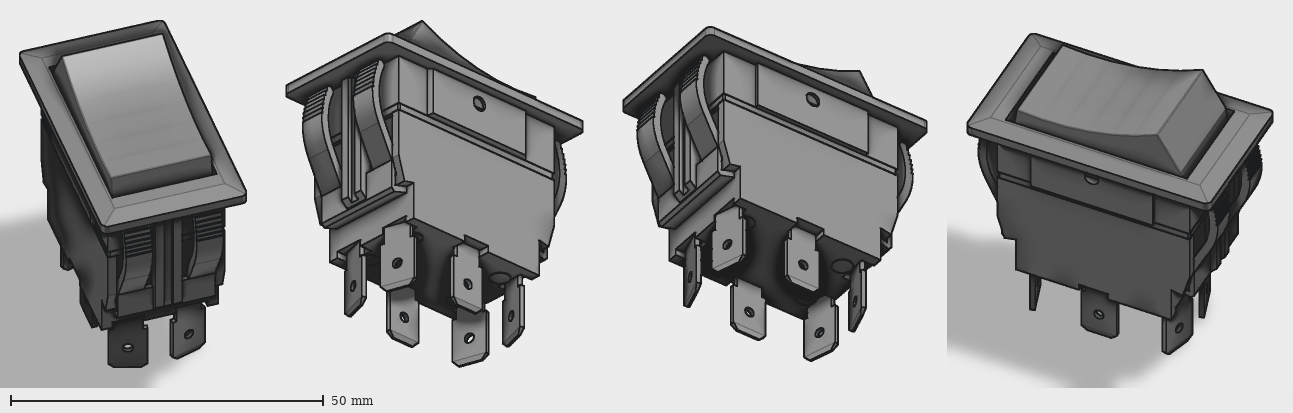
import cadquery as cq
import math

body_bottom = 10.45
notch_top = 11.6
clip_ledge = 16.95
body_top = 29.2
housing_bottom = 30.4
bezel_bottom = 38.95
bezel_edge_top = 40.55
bezel_top = 41.25

bezel_length = 43.2
bezel_width = 24.5
bezel_corner = 1.05
bezel_top_length = 37.07
bezel_top_width = 18.6
opening_length = 32.15
opening_width = 17.6
cavity_floor = 31.95

body_half_length = 17.05
body_width = 19.7
base_half_length = 13.75
neck_inset = 0.1
neck_corner = 0.3
panel_length = 21.6
panel_rise = 0.7
panel_bevel = panel_rise
panel_bevel_height = 0.45
taper_top = 20.9
taper_bottom = 16.5
taper_half_length = 15.8
recess_depth = 0.8
recess_width = 16.75

rail_half_length = 18.2
rail_width = 4.5
rail_chamfer = 1.15
rail_groove_width = 1.5
rail_groove_depth = 0.77
rail_bottom = 15.85

rocker_width = 17.05
rocker_edge = 0.15
pivot_height = 36.4
pivot_boss_diameter = 3.5
rocker_bottom = pivot_height - pivot_boss_diameter / 2
rocker_left_foot = (-15.4, rocker_bottom)
rocker_left_bend = (-14.75, 41.65)
rocker_peak = (-10.6, 48.45)
rocker_hollow = (1.5, 44.35)
rocker_right_top = (14.3, 43.95)
rocker_right_foot = (15.55, rocker_bottom)
pivot_pin_diameter = 2.5
pin_recess = 0.5
pin_ramp_height = 0.8
pin_ramp_run = 1.05

clip_width = 16.35
clip_arm_width = 4.45
arm_thickness = 1.5
arm_root_height = 20.55
arm_lean = math.radians(26.3)
arm_outer_radius = 13.0
arm_bend_height = 32.15
arm_tip_angle = math.radians(24.6)
tooth_count = 6
tooth_first = 32.52
tooth_pitch = 0.85
tooth_depth = 0.3
hook_drop = 1.1
hook_bottom = 15.0
hook_corner = 0.6
hook_rise = 0.7

blade_width = 6.3
blade_thickness = 0.8
blade_shoulder = 8.6
blade_neck_width = 4.85
blade_embed = 0.5
blade_tip_chamfer = 1.0
blade_tip_bevel = 0.25
blade_hole_diameter = 1.7
blade_hole_height = 4.45
end_blade_x = 12.6
end_blade_y = 5.05
end_blade_turn = 17.0
middle_blade_y = 7.45
notch_clearance = 0.17
middle_notch_depth = (body_width + blade_thickness) / 2 - middle_blade_y
end_notch_depth = 2.4
end_notch_width = 5.35
end_notch_y = 5.3
foot_diameter = 3.5
foot_height = 0.15
foot_x = 9.65


def block(length, width, bottom, top):
    """Box centred on the Z axis between two heights."""
    return cq.Workplane("XY").workplane(offset=bottom).rect(length, width).extrude(top - bottom)


def prism(points, width):
    """XZ outline extruded symmetrically along Y."""
    return cq.Workplane("XZ").polyline(points).close().extrude(width / 2, both=True)


def both_ends(shape):
    """The shape together with its mirror image across the YZ plane."""
    return shape.union(shape.mirror("YZ"))


def make_bezel():
    plate = block(bezel_length, bezel_width, bezel_bottom, bezel_edge_top)
    slope = (
        cq.Workplane("XY").workplane(offset=bezel_edge_top).rect(bezel_length, bezel_width)
        .workplane(offset=bezel_top - bezel_edge_top).rect(bezel_top_length, bezel_top_width)
        .loft(ruled=True)
    )
    rounding = block(bezel_length, bezel_width, bezel_bottom, bezel_top).edges("|Z").fillet(bezel_corner)
    return plate.union(slope).intersect(rounding)


def make_front_panel():
    """Raised panel on the -Y face of the housing, bevelled on its sides and bottom."""
    face = -body_width / 2
    raised = face - panel_rise
    half = panel_length / 2
    panel = (
        cq.Workplane("XY").workplane(offset=housing_bottom)
        .polyline([(-half, face), (-half + panel_bevel, raised), (half - panel_bevel, raised), (half, face)])
        .close().extrude(bezel_bottom - housing_bottom)
    )
    bevel = (
        cq.Workplane("YZ")
        .polyline([(face, housing_bottom), (raised, housing_bottom),
                   (raised, housing_bottom + panel_bevel_height)])
        .close().extrude(half, both=True)
    )
    return panel.cut(bevel)


def make_housing():
    housing = block(2 * body_half_length, body_width, housing_bottom, bezel_bottom)
    neck_length = 2 * (body_half_length - neck_inset)
    neck = block(neck_length, body_width - 2 * neck_inset, body_top, housing_bottom)
    neck = neck.edges("|Z").chamfer(neck_corner)
    back_panel = block(panel_length, panel_rise, housing_bottom, bezel_bottom)
    back_panel = back_panel.translate((0, (body_width + panel_rise) / 2, 0))
    return housing.union(neck).union(make_front_panel()).union(back_panel)


def make_body():
    right_side = [
        (base_half_length, body_bottom), (base_half_length, clip_ledge),
        (taper_half_length, taper_bottom), (body_half_length, taper_top),
        (body_half_length, body_top),
    ]
    left_side = [(-x, z) for x, z in reversed(right_side)]
    body = prism(right_side + left_side, body_width)
    recess = block(recess_depth, recess_width, taper_bottom, body_top)
    recess = recess.translate((-body_half_length + recess_depth / 2, 0, 0))
    return body.cut(both_ends(recess))


def make_rail():
    """Grooved guide rail on the -X end."""
    inner = body_half_length - recess_depth
    slope_bottom = rail_half_length - rail_chamfer
    rail = prism([
        (-inner, rail_bottom), (-slope_bottom, rail_bottom),
        (-rail_half_length, rail_bottom + rail_chamfer),
        (-rail_half_length, bezel_bottom), (-inner, bezel_bottom),
    ], rail_width)
    groove = block(2 * rail_groove_depth, rail_groove_width, rail_bottom, bezel_bottom)
    return rail.cut(groove.translate((-rail_half_length, 0, 0)))


def make_rocker():
    rocker = (
        cq.Workplane("XZ").moveTo(*rocker_left_foot).lineTo(*rocker_left_bend).lineTo(*rocker_peak)
        .threePointArc(rocker_hollow, rocker_right_top).lineTo(*rocker_right_foot).close()
        .extrude(rocker_width / 2, both=True)
    )
    return rocker.edges("not(<Z)").fillet(rocker_edge)


def pivot_cylinder(diameter, reach):
    return (
        cq.Workplane("XZ").center(0, pivot_height).circle(diameter / 2).extrude(reach, both=True)
    )


def make_pivots():
    """Pivot bosses and snap-in pins of the rocker, ramped on their lower ends."""
    reach = body_width / 2 + panel_rise - pin_recess
    boss = pivot_cylinder(pivot_boss_diameter, opening_width / 2)
    pin = pivot_cylinder(pivot_pin_diameter, reach)
    low = pivot_height - pivot_pin_diameter / 2
    ramp = (
        cq.Workplane("YZ")
        .polyline([(-reach, low), (-reach, low + pin_ramp_height), (-reach + pin_ramp_run, low)])
        .close().extrude(pivot_pin_diameter, both=True)
    )
    return boss.union(pin.cut(ramp).cut(ramp.mirror("XZ")))


def make_clip():
    """Spring clip on the -X end: hooked plate with two curved, toothed arms."""
    outer = -body_half_length
    inner = outer + recess_depth
    plate = prism([
        (outer, arm_root_height), (outer, hook_bottom + hook_corner), (outer + hook_corner, hook_bottom),
        (-base_half_length, clip_ledge - hook_drop), (-base_half_length, clip_ledge),
        (inner, clip_ledge - hook_rise), (inner, arm_root_height),
    ], clip_width)

    inner_radius = arm_outer_radius - arm_thickness
    middle_radius = arm_outer_radius - arm_thickness / 2
    bend_z = arm_bend_height - arm_outer_radius * math.sin(arm_lean)
    bend_x = outer - (bend_z - arm_root_height) * math.tan(arm_lean)
    centre_x = bend_x + arm_outer_radius * math.cos(arm_lean)

    def on_arc(radius, angle):
        return (centre_x - radius * math.cos(angle), arm_bend_height + radius * math.sin(angle))

    cap_top = on_arc(middle_radius, arm_tip_angle + arm_thickness / 2 / middle_radius)
    inner_bend = on_arc(inner_radius, -arm_lean)
    inner_root_z = inner_bend[1] - (inner - inner_bend[0]) / math.tan(arm_lean)
    arm = (
        cq.Workplane("XZ").moveTo(outer, arm_root_height).lineTo(bend_x, bend_z)
        .threePointArc(on_arc(arm_outer_radius, 0), on_arc(arm_outer_radius, arm_tip_angle))
        .threePointArc(cap_top, on_arc(inner_radius, arm_tip_angle))
        .threePointArc(on_arc(inner_radius, 0), inner_bend)
        .lineTo(inner, inner_root_z).lineTo(inner, arm_root_height).close()
        .extrude(clip_arm_width / 2, both=True)
    )
    for i in range(tooth_count):
        ledge = tooth_first + i * tooth_pitch
        angle = math.asin((ledge - arm_bend_height) / arm_outer_radius)
        next_angle = math.asin((ledge + tooth_pitch - arm_bend_height) / arm_outer_radius)
        edge = on_arc(arm_outer_radius, angle)
        tooth_gap = prism([edge, (edge[0] + tooth_depth, edge[1]), on_arc(arm_outer_radius, next_angle),
                           (edge[0] - tooth_depth, ledge + tooth_pitch)], clip_arm_width)
        arm = arm.cut(tooth_gap)

    arm_offset = (clip_width - clip_arm_width) / 2
    for side in (-1, 1):
        plate = plate.union(arm.translate((0, side * arm_offset, 0)))
    return plate


def make_blade():
    """Blade terminal centred on the Z axis with its broad faces towards Y."""
    blade = (
        cq.Workplane("XY").rect(blade_width, blade_thickness).extrude(blade_shoulder)
        .faces("<Z").edges("|Y").chamfer(blade_tip_chamfer)
    )
    half = blade_thickness / 2
    tip_half = half - blade_tip_bevel
    bevelled_tip = (
        cq.Workplane("YZ")
        .polyline([(-tip_half, 0), (-half, blade_tip_chamfer), (-half, blade_shoulder),
                   (half, blade_shoulder), (half, blade_tip_chamfer), (tip_half, 0)])
        .close().extrude(blade_width / 2, both=True)
    )
    blade = blade.intersect(bevelled_tip)
    neck = block(blade_neck_width, blade_thickness, blade_shoulder, notch_top + blade_embed)
    hole = (
        cq.Workplane("XZ").center(0, blade_hole_height).circle(blade_hole_diameter / 2)
        .extrude(blade_thickness, both=True)
    )
    return blade.union(neck).cut(hole)


result = make_bezel().union(make_housing()).union(make_body())
result = result.union(both_ends(make_rail())).union(both_ends(make_clip()))
result = result.cut(block(opening_length, opening_width, cavity_floor, bezel_top))
result = result.cut(pivot_cylinder(pivot_pin_diameter, bezel_width / 2))
result = result.union(make_rocker()).union(make_pivots())

notch_width = blade_neck_width + 2 * notch_clearance
for side in (-1, 1):
    middle_notch = block(notch_width, 2 * middle_notch_depth, body_bottom, notch_top)
    result = result.cut(middle_notch.translate((0, side * body_width / 2, 0)))
    for end in (-1, 1):
        end_notch = block(2 * end_notch_depth, end_notch_width, body_bottom, notch_top)
        result = result.cut(end_notch.translate((end * base_half_length, side * end_notch_y, 0)))

middle_blade = make_blade()
end_blade = middle_blade.rotate((0, 0, 0), (0, 0, 1), 90)
foot = (
    cq.Workplane("XY").workplane(offset=body_bottom - foot_height)
    .circle(foot_diameter / 2).extrude(2 * foot_height)
)
for side in (-1, 1):
    result = result.union(middle_blade.translate((0, side * middle_blade_y, 0)))
    for end in (-1, 1):
        turned = end_blade.rotate((0, 0, 0), (0, 0, 1), end * side * end_blade_turn)
        result = result.union(turned.translate((end * end_blade_x, side * end_blade_y, 0)))
        result = result.union(foot.translate((end * foot_x, side * end_blade_y, 0)))